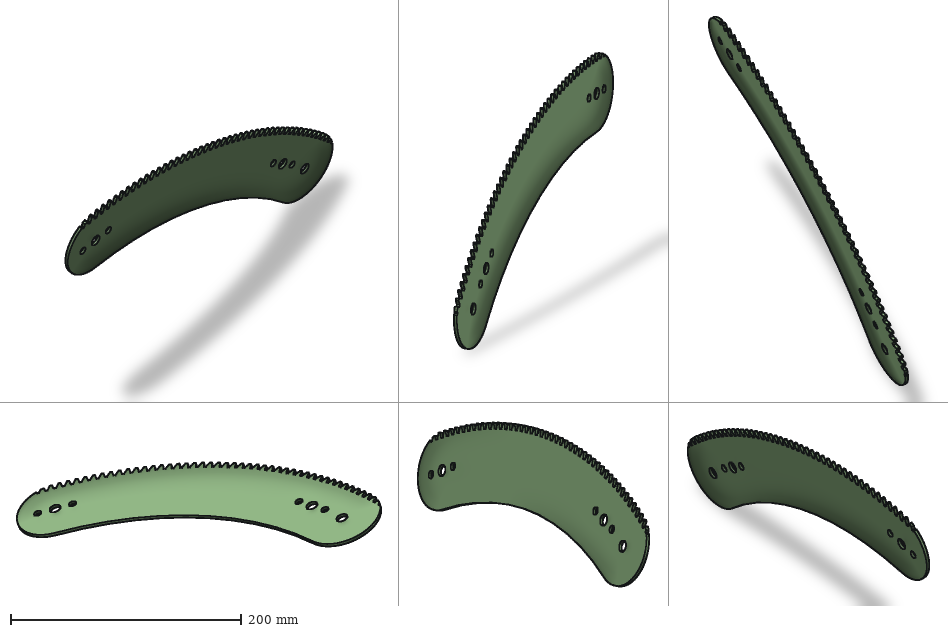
import cadquery as cq
import math


thickness = 3.0
length = 332.2

full_circle_teeth = 300
pitch_radius = 374.8
dedendum_ratio = 1.25
gap_width = 4.3
pressure_angle = math.radians(20)
module = 2 * pitch_radius / full_circle_teeth
tip_radius = pitch_radius + module
root_radius = pitch_radius - dedendum_ratio * module
tooth_pitch_angle = 360 / full_circle_teeth
first_gap = -2
last_gap = 44

sector_angle = 50.0
sector_sine = math.sin(math.radians(sector_angle))
end_radius = (length - tip_radius * sector_sine) / (2 - sector_sine)
centre_radius = tip_radius - end_radius
inner_radius = centre_radius - end_radius

large_hole_diameter = 10.0
small_hole_diameter = 6.5
small_hole_offset = 16.0
hole_group_angles = (0.0, 43.3)
pair_tilt = -1.3


def polar(radius, angle):
    """Point (y, z) at a radius and an angle in degrees from +Z toward +Y."""
    turn = math.radians(angle)
    return (radius * math.sin(turn), radius * math.cos(turn))


def polar_from(centre, radius, angle):
    """Point (y, z) at a polar offset from another point."""
    offset_y, offset_z = polar(radius, angle)
    return (centre[0] + offset_y, centre[1] + offset_z)


def sector_blank():
    """Curved band with full-round ends, before the teeth are cut."""
    middle = sector_angle / 2
    start_cap = polar_from(polar(centre_radius, 0), end_radius, -90)
    end_cap = polar_from(polar(centre_radius, sector_angle), end_radius, sector_angle + 90)
    return (
        cq.Workplane("YZ")
        .moveTo(*polar(tip_radius, 0))
        .threePointArc(polar(tip_radius, middle), polar(tip_radius, sector_angle))
        .threePointArc(end_cap, polar(inner_radius, sector_angle))
        .threePointArc(polar(inner_radius, middle), polar(inner_radius, 0))
        .threePointArc(start_cap, polar(tip_radius, 0))
        .close()
        .extrude(thickness)
    )


def tooth_gap(angle):
    """Straight-sided gap between two teeth, running out past the tooth tips."""
    outer_radius = tip_radius + module

    def half_width(radius):
        return gap_width / 2 + (radius - pitch_radius) * math.tan(pressure_angle)

    root_half = half_width(root_radius)
    outer_half = half_width(outer_radius)
    return (
        cq.Workplane("YZ")
        .polyline([
            (-root_half, root_radius),
            (root_half, root_radius),
            (outer_half, outer_radius),
            (-outer_half, outer_radius),
        ])
        .close()
        .extrude(thickness)
        .rotate((0, 0, 0), (1, 0, 0), -angle)
        .val()
    )


def drill(plate, points, diameter):
    """Cut through holes at the given (y, z) points."""
    cutters = cq.Workplane("YZ").pushPoints(points).circle(diameter / 2).extrude(thickness)
    return plate.cut(cutters)


def small_hole_pair(angle):
    """Two points either side of a large hole, almost along the tangent to the centre arc."""
    centre = polar(centre_radius, angle)
    direction = angle + 90 + pair_tilt
    return [polar_from(centre, side * small_hole_offset, direction) for side in (-1, 1)]


gap_angles = [index * tooth_pitch_angle for index in range(first_gap, last_gap + 1)]
gaps = cq.Compound.makeCompound([tooth_gap(angle) for angle in gap_angles])
plate = sector_blank().cut(cq.Workplane(gaps))

large_hole_points = [polar(centre_radius, angle) for angle in (*hole_group_angles, sector_angle)]
plate = drill(plate, large_hole_points, large_hole_diameter)
for group_angle in hole_group_angles:
    plate = drill(plate, small_hole_pair(group_angle), small_hole_diameter)

result = plate